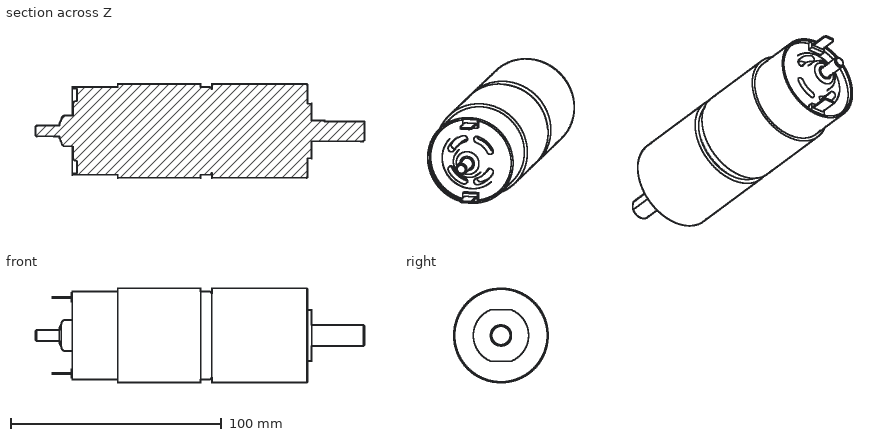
import cadquery as cq
import math


length = 156.5
nose_start = 11.5
round_end = 14.2
can_start = 17.5
sleeve_start = 39.1
sleeve_end = 78.6
gearbox_start = 83.9
gearbox_end = 129.5
pilot_end = 131.3
flat_start = 137.5

body_diameter = 45.0
bearing_diameter = 14.9
rear_shaft_radius = 2.7
nose_radius = 3.5
bearing_radius = bearing_diameter / 2
can_radius = 21.0
body_radius = body_diameter / 2
pilot_radius = 13.2
output_shaft_radius = 5.0

rear_shaft_chamfer = 0.6
output_shaft_chamfer = 0.6
gearbox_chamfer = 0.5
can_front_fillet = 1.3
bearing_round = 1.9
bearing_base_fillet = 0.6

pilot_across_flats = 24.3
output_flat_offset = 4.5

rim_inner_radius = 20.0
recess_depth = 2.2
disc_radius = 14.2
disc_height = 1.7
disc_base_fillet = 0.5
disc_top_fillet = 1.17

slot_mid_radius = 10.8
slot_width = 3.1
slot_first_angle = 28.0
slot_last_angle = 73.0
slot_depth = 6.3

block_width = 7.2
block_inner_height = 16.1
block_outer_height = 20.2
block_start = 17.0
pin_start = 8.0
pin_width = 5.5
pin_thickness = 0.8
pin_height = 18.0
pin_chamfer = 0.8

floor_x = can_start + recess_depth
disc_x = floor_x - disc_height


def cylinder_x(start, end, radius):
    return cq.Workplane("YZ", origin=(start, 0, 0)).circle(radius).extrude(end - start)


def box_between(x0, x1, width, z0, z1):
    """Box centred on Y = 0 between the given X and Z limits."""
    return cq.Workplane("XY").box(x1 - x0, width, z1 - z0).translate(((x0 + x1) / 2, 0, (z0 + z1) / 2))


def revolve_x(outline):
    """Turn a closed outline, drawn as (X, radius), around the X axis."""
    return outline.close().revolve(360, (0, 0, 0), (1, 0, 0))


def make_housing():
    can = cylinder_x(can_start, gearbox_start, can_radius).faces(">X").edges().fillet(can_front_fillet)
    recess = cylinder_x(can_start, floor_x, rim_inner_radius)
    sleeve = cylinder_x(sleeve_start, sleeve_end, body_radius)
    gearbox = cylinder_x(gearbox_start, gearbox_end, body_radius).faces(">X").chamfer(gearbox_chamfer)
    return can.cut(recess).union(sleeve).union(gearbox)


def make_vent_slot():
    """Curved slot with round ends, in the +Y +Z quarter of the disc."""

    def at(radius, degrees):
        turn = math.radians(degrees)
        return (radius * math.cos(turn), radius * math.sin(turn))

    inner = slot_mid_radius - slot_width / 2
    outer = slot_mid_radius + slot_width / 2
    middle_angle = (slot_first_angle + slot_last_angle) / 2
    end_angle = math.degrees(slot_width / 2 / slot_mid_radius)
    return (
        cq.Workplane("YZ", origin=(disc_x, 0, 0))
        .moveTo(*at(outer, slot_first_angle))
        .threePointArc(at(outer, middle_angle), at(outer, slot_last_angle))
        .threePointArc(at(slot_mid_radius, slot_last_angle + end_angle), at(inner, slot_last_angle))
        .threePointArc(at(inner, middle_angle), at(inner, slot_first_angle))
        .threePointArc(at(slot_mid_radius, slot_first_angle - end_angle), at(outer, slot_first_angle))
        .close()
        .extrude(slot_depth)
    )


def make_disc():
    """Raised disc with a filleted base and a rounded rim, standing on the recess floor."""
    return revolve_x(
        cq.Workplane("XY")
        .moveTo(floor_x, 0)
        .lineTo(floor_x, disc_radius + disc_base_fillet)
        .radiusArc((floor_x - disc_base_fillet, disc_radius), disc_base_fillet)
        .lineTo(disc_x + disc_top_fillet, disc_radius)
        .radiusArc((disc_x, disc_radius - disc_top_fillet), -disc_top_fillet)
        .lineTo(disc_x, 0)
    )


def make_bearing():
    """Rear bearing housing: a cylinder rounded into a shallow cone, with a fillet at its base."""
    round_start = round_end - bearing_round
    return revolve_x(
        cq.Workplane("XY")
        .moveTo(nose_start, 0)
        .lineTo(nose_start, nose_radius)
        .lineTo(round_start, bearing_radius - bearing_round)
        .radiusArc((round_end, bearing_radius), bearing_round)
        .lineTo(disc_x - bearing_base_fillet, bearing_radius)
        .radiusArc((disc_x, bearing_radius + bearing_base_fillet), -bearing_base_fillet)
        .lineTo(disc_x, 0)
    )


def make_terminal():
    """Terminal above the axis."""
    block = box_between(block_start, floor_x, block_width, block_inner_height, block_outer_height)
    half_thickness = pin_thickness / 2
    pin = box_between(pin_start, floor_x, pin_width, pin_height - half_thickness, pin_height + half_thickness)
    pin = pin.edges("<X and |Z").chamfer(pin_chamfer)
    return block.union(pin)


def make_output_end():
    """Pilot boss with flats above and below, and a D-shaped output shaft."""
    pilot = cylinder_x(gearbox_end, pilot_end, pilot_radius)
    half_flats = pilot_across_flats / 2
    pilot = pilot.intersect(box_between(gearbox_end, pilot_end, 2 * pilot_radius, -half_flats, half_flats))
    shaft = cylinder_x(gearbox_end, length, output_shaft_radius).faces(">X").chamfer(output_shaft_chamfer)
    flat_cut = box_between(
        flat_start, length, 2 * output_shaft_radius, -output_shaft_radius, output_shaft_radius
    ).translate((0, output_flat_offset + output_shaft_radius, 0))
    return pilot.union(shaft.cut(flat_cut))


rear_shaft = cylinder_x(0, can_start, rear_shaft_radius).faces("<X").chamfer(rear_shaft_chamfer)
upper_terminal = make_terminal()
lower_terminal = upper_terminal.mirror("XY")

result = make_housing().union(make_disc())
upper_slots = make_vent_slot().union(make_vent_slot().mirror("XZ"))
result = result.cut(upper_slots).cut(upper_slots.mirror("XY"))
result = result.union(make_bearing()).union(rear_shaft)
result = result.union(upper_terminal).union(lower_terminal).union(make_output_end())